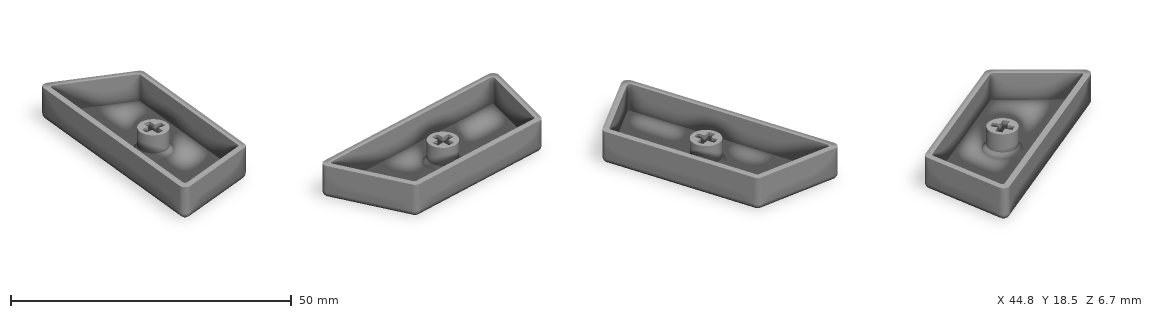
import cadquery as cq
import math

OUTLINE_DEPTH = 18.05
LONG_SIDE = 45.88
FLANK_ANGLE = 20.0
TILT = -0.626
OUTLINE_OFFSET = (-0.05, -0.03)

HEIGHT = 6.7
WALL = 1.2
FLOOR = 1.2
EDGE_RADIUS = 1.2
POCKET_CORNER_RADIUS = 0.5

STEM_DIAMETER = 5.8
STEM_TOP = 5.7
FLARE_SIZE = 0.8
CROSS_SPAN = 4.2
CROSS_ARM_WIDTH = 1.35
CROSS_DEPTH = STEM_TOP - FLOOR


def trapezoid_prism(inset, bottom, top):
    """Upright prism on the tray outline, with every side moved inward by `inset`."""
    flank = math.radians(FLANK_ANGLE)
    half_depth = OUTLINE_DEPTH / 2 - inset
    half_mid_width = (LONG_SIDE - OUTLINE_DEPTH * math.tan(flank)) / 2 - inset / math.cos(flank)
    spread = half_depth * math.tan(flank)
    long_half = half_mid_width + spread
    short_half = half_mid_width - spread
    corners = [
        (-long_half, -half_depth),
        (long_half, -half_depth),
        (short_half, half_depth),
        (-short_half, half_depth),
    ]
    prism = cq.Workplane("XY").polyline(corners).close().extrude(top - bottom)
    prism = prism.rotate((0, 0, 0), (0, 0, 1), TILT)
    return prism.translate((*OUTLINE_OFFSET, bottom))


def make_tray():
    body = trapezoid_prism(0, 0, HEIGHT).edges("|Z or <Z").fillet(EDGE_RADIUS)
    pocket = trapezoid_prism(WALL, FLOOR, HEIGHT).edges("|Z").fillet(POCKET_CORNER_RADIUS)
    return body.cut(pocket)


def make_stem():
    """Round post with a conical foot, as one revolved profile."""
    radius = STEM_DIAMETER / 2
    profile = [
        (0, FLOOR),
        (radius + FLARE_SIZE, FLOOR),
        (radius, FLOOR + FLARE_SIZE),
        (radius, STEM_TOP),
        (0, STEM_TOP),
    ]
    return cq.Workplane("XZ").polyline(profile).close().revolve(360, (0, 0, 0), (0, 1, 0))


def make_cross_socket():
    plane = cq.Workplane("XY").workplane(offset=STEM_TOP)
    along_x = plane.rect(CROSS_SPAN, CROSS_ARM_WIDTH).extrude(-CROSS_DEPTH)
    along_y = plane.rect(CROSS_ARM_WIDTH, CROSS_SPAN).extrude(-CROSS_DEPTH)
    return along_x.union(along_y)


result = make_tray().union(make_stem()).cut(make_cross_socket())